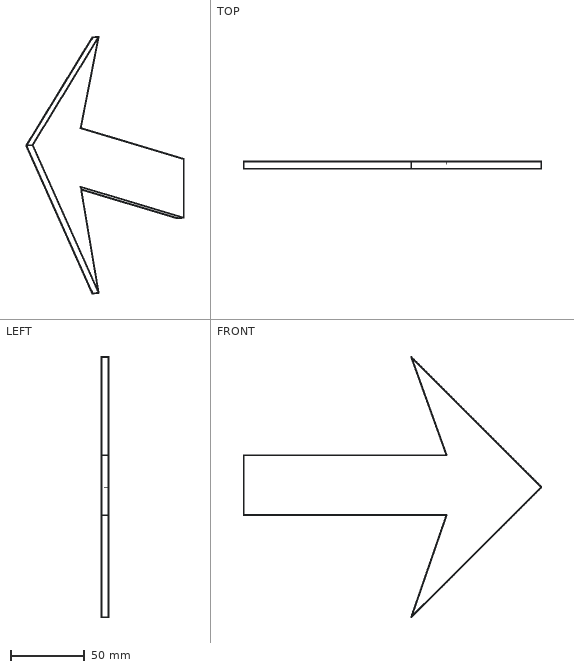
import cadquery as cq

length = 203.2
height = 177.67
thickness = 5.08

shaft_bottom = 69.8
shaft_width = 40.8
shaft_top = shaft_bottom + shaft_width

head_length = 88.9
barb_sweep = 24.1
barb_x = length - head_length
head_root_x = barb_x + barb_sweep
tip_z = height / 2

outline = [
    (0, shaft_bottom),
    (head_root_x, shaft_bottom),
    (barb_x, 0),
    (length, tip_z),
    (barb_x, height),
    (head_root_x, shaft_top),
    (0, shaft_top),
]

result = cq.Workplane("XZ").polyline(outline).close().extrude(-thickness)